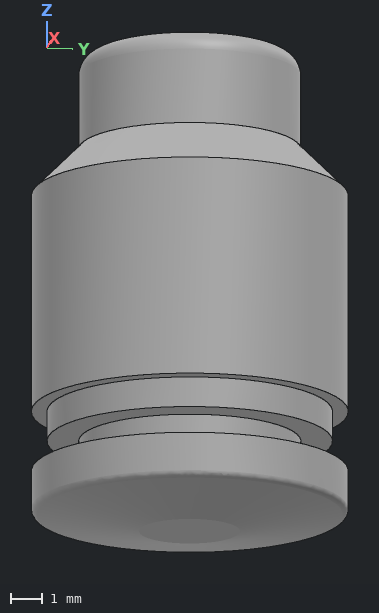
import cadquery as cq

body_diameter = 10.0
collar_diameter = 9.0
neck_diameter = 7.0
base_diameter = 3.18

total_height = 15.5
flange_top = 1.97
collar_bottom = 2.93
collar_top = 3.89
shoulder_bottom = 10.91
shoulder_height = (body_diameter - neck_diameter) / 2

tip_fillet = 0.7
cone_height = 0.56
rim_fillet = 0.2
selection_margin = 0.02

body_radius = body_diameter / 2
collar_radius = collar_diameter / 2
neck_radius = neck_diameter / 2
base_radius = base_diameter / 2
shoulder_top = shoulder_bottom + shoulder_height

profile = (
    cq.Workplane("XZ")
    .moveTo(0, 0)
    .lineTo(base_radius, 0)
    .lineTo(body_radius, cone_height)
    .lineTo(body_radius, flange_top)
    .lineTo(neck_radius, flange_top)
    .lineTo(neck_radius, collar_bottom)
    .lineTo(collar_radius, collar_bottom)
    .lineTo(collar_radius, collar_top)
    .lineTo(body_radius, collar_top)
    .lineTo(body_radius, shoulder_bottom)
    .lineTo(neck_radius, shoulder_top)
    .lineTo(neck_radius, total_height)
    .lineTo(0, total_height)
    .close()
)

result = profile.revolve(360, (0, 0, 0), (0, 1, 0))
result = result.faces(">Z").edges().fillet(tip_fillet)
cone_rim = cq.selectors.BoxSelector(
    (-body_diameter, -body_diameter, cone_height - selection_margin),
    (body_diameter, body_diameter, cone_height + selection_margin),
)
result = result.edges(cone_rim).fillet(rim_fillet)